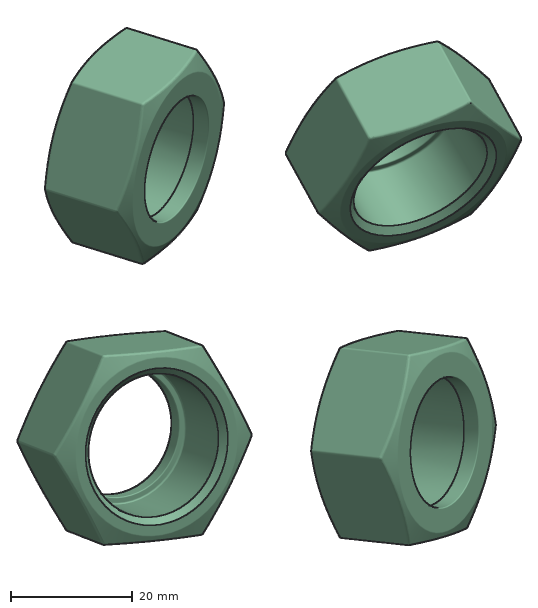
import cadquery as cq
import math

length = 16.0
across_flats = 32.0
across_corners = across_flats / math.cos(math.radians(30))

end_face_radius = 15.0
end_chamfer_angle = 20.0
edge_radius = 0.5
envelope_clearance = 1.0

bore_radius = 12.05
bore_depth = 13.0
mouth_radius = 13.2
outlet_radius = 10.85
bore_corner_radius = 0.3
outlet_edge_radius = 0.2


def hexagon_body():
    """Hexagonal prism with two faces square to Z."""
    return cq.Workplane("YZ").polygon(6, across_corners).extrude(length)


def end_cone_envelope():
    """Turned envelope that chamfers the hexagon corners, its end faces blending into the cones."""
    envelope_radius = across_corners / 2 + envelope_clearance
    cone_angle = math.radians(end_chamfer_angle)
    cone_length = (envelope_radius - end_face_radius) * math.tan(cone_angle)
    blend_tangent = edge_radius * math.tan(cone_angle / 2)
    face_end = end_face_radius - blend_tangent
    cone_start_x = blend_tangent * math.sin(cone_angle)
    cone_start_radius = end_face_radius + blend_tangent * math.cos(cone_angle)
    blend_mid_x = edge_radius * (1 - math.cos(cone_angle / 2))
    blend_mid_radius = face_end + edge_radius * math.sin(cone_angle / 2)
    profile = (
        cq.Workplane("XZ")
        .moveTo(0, 0)
        .lineTo(0, face_end)
        .threePointArc((blend_mid_x, blend_mid_radius), (cone_start_x, cone_start_radius))
        .lineTo(cone_length, envelope_radius)
        .lineTo(length - cone_length, envelope_radius)
        .lineTo(length - cone_start_x, cone_start_radius)
        .threePointArc((length - blend_mid_x, blend_mid_radius), (length, face_end))
        .lineTo(length, 0)
        .close()
    )
    return profile.revolve(360, (0, 0, 0), (1, 0, 0))


def rounded_outer_body():
    """Chamfered hexagon with every edge around its six flats rounded."""
    body = hexagon_body().intersect(end_cone_envelope())
    flat_edges = body.faces("%PLANE and (not |X)").edges()
    return flat_edges.fillet(edge_radius)


def stepped_bore():
    """Tool for the chamfered bore, its rounded bottom and the smaller outlet hole with rounded rims."""
    mouth_chamfer = mouth_radius - bore_radius
    corner_mid = bore_corner_radius * (1 - math.sqrt(0.5))
    outlet_mid = outlet_edge_radius * (1 - math.sqrt(0.5))
    profile = (
        cq.Workplane("XZ")
        .moveTo(0, 0)
        .lineTo(0, mouth_radius)
        .lineTo(mouth_chamfer, bore_radius)
        .lineTo(bore_depth - bore_corner_radius, bore_radius)
        .threePointArc(
            (bore_depth - corner_mid, bore_radius - corner_mid),
            (bore_depth, bore_radius - bore_corner_radius),
        )
        .lineTo(bore_depth, outlet_radius + outlet_edge_radius)
        .threePointArc(
            (bore_depth + outlet_mid, outlet_radius + outlet_mid),
            (bore_depth + outlet_edge_radius, outlet_radius),
        )
        .lineTo(length - outlet_edge_radius, outlet_radius)
        .threePointArc(
            (length - outlet_mid, outlet_radius + outlet_mid),
            (length, outlet_radius + outlet_edge_radius),
        )
        .lineTo(length, 0)
        .close()
    )
    return profile.revolve(360, (0, 0, 0), (1, 0, 0))


result = rounded_outer_body().cut(stepped_bore())